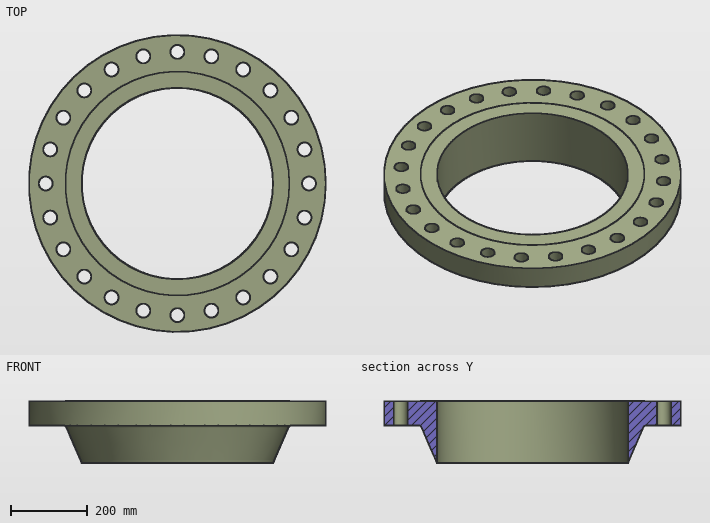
import cadquery as cq

flange_diameter = 775.0
total_height = 162.0
flange_thickness = 63.5
bore_diameter = 498.0

face_diameter = 584.0
face_height = 0.6

hub_root_diameter = 584.0
hub_root_fillet = 9.0
hub_bottom_diameter = 500.5
weld_end_diameter = 507.0
weld_end_height = 8.5

bolt_count = 24
bolt_circle_diameter = 686.0
bolt_hole_diameter = 36.0

flange_top = total_height - face_height
flange_bottom = flange_top - flange_thickness


def flange_body():
    """Revolve the flange, its raised face and the tapered hub around Z, then round the hub root."""
    profile = [
        (bore_diameter / 2, 0),
        (hub_bottom_diameter / 2, 0),
        (weld_end_diameter / 2, weld_end_height),
        (hub_root_diameter / 2, flange_bottom),
        (flange_diameter / 2, flange_bottom),
        (flange_diameter / 2, flange_top),
        (face_diameter / 2, flange_top),
        (face_diameter / 2, total_height),
        (bore_diameter / 2, total_height),
    ]
    body = cq.Workplane("XZ").polyline(profile).close().revolve(360, (0, 0), (0, 1))
    reach = hub_root_diameter / 2 + hub_root_fillet
    root_box = cq.selectors.BoxSelector(
        (-reach, -reach, flange_bottom - hub_root_fillet),
        (reach, reach, flange_bottom + hub_root_fillet),
        boundingbox=True,
    )
    return body.edges(root_box).fillet(hub_root_fillet)


def bolt_holes():
    """Cylinders that cut the ring of bolt holes through the flange."""
    return (
        cq.Workplane("XY", origin=(0, 0, flange_bottom))
        .polarArray(bolt_circle_diameter / 2, 0, 360, bolt_count)
        .circle(bolt_hole_diameter / 2)
        .extrude(flange_thickness)
    )


result = flange_body().cut(bolt_holes())